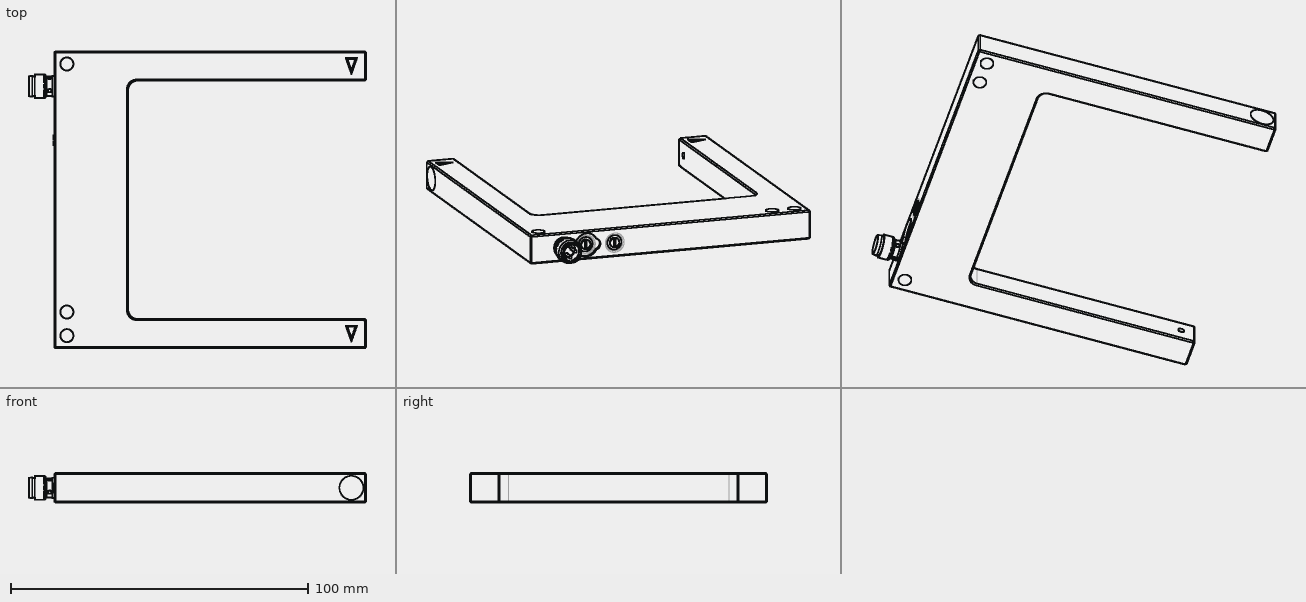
import cadquery as cq
import math

overall_length = 113.5

body_length = 105.0
body_width = 100.0
body_height = 10.0
web_width = 25.0
arm_width = 10.0
inner_corner_radius = 3.0
edge_chamfer = 0.5
gap_width = body_width - 2 * arm_width
half_width = body_width / 2
half_height = body_height / 2

mount_hole_diameter = 4.3
mount_hole_inset = 4.3
mount_hole_spacing = 8.0

beam_inset = 5.0
beam_hole_diameter = 2.0
beam_hole_depth = 1.1
plug_diameter = 8.1
plug_recess = 0.06

arrow_length = 5.5
arrow_width = 3.9
arrow_border = 0.5
arrow_depth = 0.1

connector_y = half_width - 11.8
first_dial_y = half_width - 20.0
dial_spacing = 10.0

connector_length = overall_length - body_length
lip_station = 7.4
sleeve_front_station = 6.5
sleeve_back_station = 2.7
sleeve_taper = 0.5
collar_front_station = 2.4
foot_station = 0.7
tip_diameter = 6.7
lip_diameter = 7.2
sleeve_diameter = 8.1
neck_diameter = 6.4
collar_diameter = 6.6
foot_diameter = 6.9
socket_diameter = 5.8
socket_depth = 5.7
pin_diameter = 1.0
pin_length = 4.0
pin_circle_radius = 1.8
notch_count = 12
notch_width = 1.1
notch_depth = 0.28
notch_length = 0.3
dimple_count = 4
dimple_diameter = 1.2
dimple_depth = 0.2
dimple_station = 1.5
dimple_start_angle = 28.0

dial_diameter = 6.7
dial_step_diameter = 5.8
dial_well_diameter = 5.0
dial_step_depth = 0.1
dial_well_depth = 0.2
screw_diameter = 3.3
screw_projection = 0.3
screw_slot_width = 0.6
screw_slot_depth = 0.3

pocket_diameter = 8.1
pocket_slot_length = 10.0
pocket_slot_width = 3.7
pocket_depth = 0.9


def rear_cylinder(diameter, x_start, x_end, y, z=0.0):
    """Cylinder along X between two X positions."""
    disc = cq.Workplane("YZ", origin=(x_start, y, z)).circle(diameter / 2)
    return disc.extrude(x_end - x_start)


def make_fork():
    block = cq.Workplane("XY").box(body_length, body_width, body_height, centered=(False, True, True))
    gap_length = body_length - web_width
    gap = (
        cq.Workplane("XY", origin=(web_width, 0, 0))
        .box(gap_length, gap_width, body_height, centered=(False, True, True))
        .edges("|Z and <X")
        .fillet(inner_corner_radius)
    )
    fork = block.cut(gap)
    fork = fork.edges("|Z and (<X or >X)").chamfer(edge_chamfer)
    return fork.faces("<Z or >Z").edges().chamfer(edge_chamfer)


def make_mounting_holes():
    edge_y = half_width - mount_hole_inset
    hole_y_positions = [edge_y, -edge_y, -edge_y + mount_hole_spacing]
    return (
        cq.Workplane("XY", origin=(0, 0, -half_height))
        .pushPoints([(mount_hole_inset, y) for y in hole_y_positions])
        .circle(mount_hole_diameter / 2)
        .extrude(body_height)
    )


def make_beam_cuts():
    """Openings facing each other across the gap, and the outlines of the plugs behind them."""
    beam_x = body_length - beam_inset
    openings = (
        cq.Workplane("XZ", origin=(beam_x, 0, 0))
        .circle(beam_hole_diameter / 2)
        .extrude(gap_width / 2 + beam_hole_depth, both=True)
    )
    outer_disc = cq.Workplane("XZ", origin=(beam_x, half_width, 0)).circle(plug_diameter / 2)
    plug = outer_disc.extrude(plug_recess)
    return openings.union(plug).union(plug.mirror("XZ"))


def triangle(x, base_y, width, length):
    """Engraving tool with its base at base_y and its tip towards -Y."""
    corners = [(x - width / 2, base_y), (x + width / 2, base_y), (x, base_y - length)]
    floor = cq.Workplane("XY", origin=(0, 0, half_height - arrow_depth))
    return floor.polyline(corners).close().extrude(arrow_depth)


def make_arrow(x, y):
    """Triangular frame of even width, centred on (x, y)."""
    base_y = y + arrow_length / 2
    half_tip_angle = math.atan2(arrow_width / 2, arrow_length)
    inner_length = arrow_length - arrow_border * (1 + 1 / math.sin(half_tip_angle))
    inner_width = arrow_width * inner_length / arrow_length
    inside = triangle(x, base_y - arrow_border, inner_width, inner_length)
    return triangle(x, base_y, arrow_width, arrow_length).cut(inside)


def make_connector():
    """Turned plug body with a notched sleeve, a dimpled collar and a pin socket in its end."""
    outline = [
        (0, 0),
        (-connector_length, 0),
        (-connector_length, tip_diameter / 2),
        (-lip_station, lip_diameter / 2),
        (-sleeve_front_station, neck_diameter / 2),
        (-sleeve_front_station, sleeve_diameter / 2),
        (-sleeve_back_station - sleeve_taper, sleeve_diameter / 2),
        (-sleeve_back_station, sleeve_diameter / 2 - sleeve_taper),
        (-sleeve_back_station, neck_diameter / 2),
        (-collar_front_station, neck_diameter / 2),
        (-collar_front_station, collar_diameter / 2),
        (-foot_station, collar_diameter / 2),
        (-foot_station, foot_diameter / 2),
        (0, foot_diameter / 2),
    ]
    plug = cq.Workplane("XY").polyline(outline).close().revolve(360, (0, 0, 0), (1, 0, 0))

    notch = cq.Workplane("XY").box(notch_length + sleeve_taper, notch_width, 2 * notch_depth)
    notch_x = -sleeve_back_station - (notch_length + sleeve_taper) / 2
    notch = notch.translate((notch_x, 0, sleeve_diameter / 2))
    for i in range(notch_count):
        plug = plug.cut(notch.rotate((0, 0, 0), (1, 0, 0), i * 360 / notch_count))

    dimple_floor = collar_diameter / 2 - dimple_depth
    dimple = cq.Workplane("XY", origin=(-dimple_station, 0, dimple_floor))
    dimple = dimple.circle(dimple_diameter / 2).extrude(2 * dimple_depth)
    for i in range(dimple_count):
        angle = dimple_start_angle + i * 360 / dimple_count
        plug = plug.cut(dimple.rotate((0, 0, 0), (1, 0, 0), angle))

    socket_floor = -connector_length + socket_depth
    plug = plug.cut(rear_cylinder(socket_diameter, -connector_length, socket_floor, 0))
    for y, z in [(0, pin_circle_radius), (-pin_circle_radius, 0), (0, -pin_circle_radius)]:
        plug = plug.union(rear_cylinder(pin_diameter, socket_floor - pin_length, socket_floor, y, z))
    return plug.translate((0, connector_y, 0))


def cut_dial(part, y, face_x):
    """Stepped round well in the surface at face_x, with a slotted screw standing out of it."""
    step_x = face_x + dial_step_depth
    well_x = face_x + dial_well_depth
    bevel = (
        cq.Workplane("YZ", origin=(face_x, y, 0))
        .circle(dial_diameter / 2)
        .workplane(offset=dial_step_depth)
        .circle(dial_step_diameter / 2)
        .loft()
    )
    part = part.cut(bevel).cut(rear_cylinder(dial_well_diameter, step_x, well_x, y))
    head_x = face_x - screw_projection
    slot = cq.Workplane("XY").box(2 * screw_slot_depth, screw_slot_width, screw_diameter)
    screw = rear_cylinder(screw_diameter, head_x, well_x, y).cut(slot.translate((head_x, y, 0)))
    return part.union(screw)


def make_dial_pocket():
    pocket = rear_cylinder(pocket_diameter, 0, pocket_depth, first_dial_y)
    slot = (
        cq.Workplane("YZ", origin=(0, first_dial_y, 0))
        .slot2D(pocket_slot_length, pocket_slot_width)
        .extrude(pocket_depth)
    )
    return pocket.union(slot)


result = make_fork().cut(make_mounting_holes()).cut(make_beam_cuts())

arm_centre_y = half_width - arm_width / 2
for arrow_y in (arm_centre_y, -arm_centre_y):
    result = result.cut(make_arrow(body_length - beam_inset, arrow_y))

result = result.cut(make_dial_pocket())
result = cut_dial(result, first_dial_y, pocket_depth)
result = cut_dial(result, first_dial_y - dial_spacing, 0)
result = result.union(make_connector())